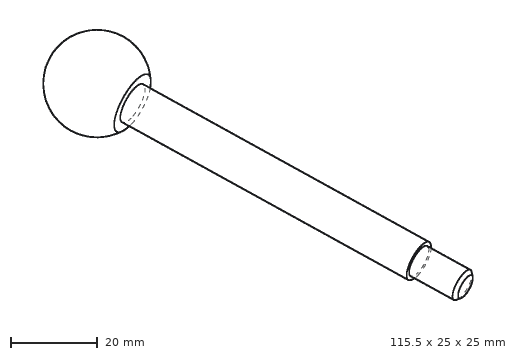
import cadquery as cq

total_length = 115.5
ball_diameter = 25.0
ball_length = 22.4
rod_diameter = 10.0
stud_diameter = 8.0
stud_length = 13.0
stud_chamfer = 0.9

ball_radius = ball_diameter / 2
shoulder_x = total_length - stud_length


def make_ball():
    """Ball with its pole at the origin, cut flat where the rod enters."""
    ball = cq.Workplane("XY").sphere(ball_radius).translate((ball_radius, 0, 0))
    keep = cq.Workplane("XY").box(
        ball_length, ball_diameter, ball_diameter, centered=(False, True, True)
    )
    return ball.intersect(keep)


def make_rod():
    """Plain cylinder from the ball centre to the shoulder."""
    rod_length = shoulder_x - ball_radius
    return (
        cq.Workplane("YZ", origin=(ball_radius, 0, 0))
        .circle(rod_diameter / 2)
        .extrude(rod_length)
    )


def make_stud():
    """Reduced end pin with a chamfered tip."""
    return (
        cq.Workplane("YZ", origin=(shoulder_x, 0, 0))
        .circle(stud_diameter / 2)
        .extrude(stud_length)
        .faces(">X")
        .chamfer(stud_chamfer)
    )


result = make_ball().union(make_rod()).union(make_stud())